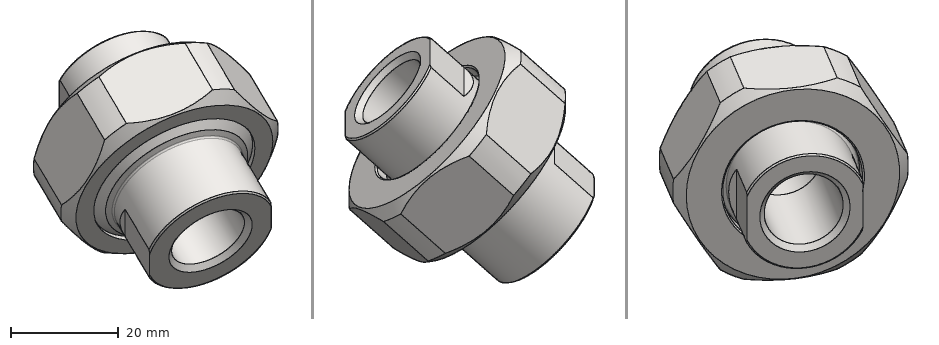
import cadquery as cq
import math


TOTAL_LENGTH = 42.0
NUT_START = 10.45
NUT_WIDTH = 16.0
NUT_END = NUT_START + NUT_WIDTH
JOINT_X = 19.65

BORE_RADIUS = 14.95 / 2
BORE_CHAMFER = 1.05
END_CHAMFER = 0.3

ACROSS_FLATS = 41.0
NUT_RADIUS = 22.35
HEX_TURN = 90.0
NUT_CHAMFER = 2.1
NUT_HOLE_RADIUS = 26.5 / 2
NUT_HOLE_CHAMFER = 0.3
NUT_LIP = 4.0
THREAD_RADIUS = 33.1 / 2

LEFT_RADIUS = 24.5 / 2
LEFT_FLATS = 22.0
LEFT_FLAT_LENGTH = 9.0
LEFT_FILLET = 0.8
LEFT_SHOULDER_DEPTH = 2.8
LEFT_SHOULDER_X = NUT_START + LEFT_SHOULDER_DEPTH
FLANGE_X = NUT_START + NUT_LIP

RIGHT_RADIUS = 26.5 / 2
RIGHT_FLATS = 25.0
RIGHT_FLAT_LENGTH = 10.5
COLLAR_EDGE_RADIUS = 14.6
CONE_OFFSET = 1.0
COLLAR_FACE_ANGLE = math.radians(66)
COLLAR_FILLET = 0.45


def revolve_about_x(profile):
    """Turn a closed profile drawn as (x, radius) about the X axis."""
    return profile.close().revolve(360, (0, 0, 0), (1, 0, 0))


def flat_cutters(flat_width, end_x, inward, length, outer_radius):
    """Two prisms that cut opposite flats with a 45 degree run-out."""
    depth = 2 * (outer_radius - flat_width / 2)
    half_flats = flat_width / 2
    corner_x = end_x + inward * length
    cutters = []
    for side in (1, -1):
        cutters.append(
            cq.Workplane("XY")
            .workplane(offset=-outer_radius)
            .moveTo(end_x, side * half_flats)
            .lineTo(corner_x, side * half_flats)
            .lineTo(corner_x + inward * depth, side * (half_flats + depth))
            .lineTo(end_x, side * (half_flats + depth))
            .close()
            .extrude(2 * outer_radius)
        )
    return cutters


def make_left_tailpiece():
    fillet_start_x = LEFT_SHOULDER_X - LEFT_FILLET
    fillet_end_radius = LEFT_RADIUS + LEFT_FILLET
    fillet_offset = LEFT_FILLET * math.sqrt(0.5)
    profile = (
        cq.Workplane("XY")
        .moveTo(0, BORE_RADIUS + BORE_CHAMFER)
        .lineTo(0, LEFT_RADIUS - END_CHAMFER)
        .lineTo(END_CHAMFER, LEFT_RADIUS)
        .lineTo(fillet_start_x, LEFT_RADIUS)
        .threePointArc(
            (fillet_start_x + fillet_offset, fillet_end_radius - fillet_offset),
            (LEFT_SHOULDER_X, fillet_end_radius),
        )
        .lineTo(LEFT_SHOULDER_X, NUT_HOLE_RADIUS)
        .lineTo(FLANGE_X, NUT_HOLE_RADIUS)
        .lineTo(FLANGE_X, THREAD_RADIUS)
        .lineTo(JOINT_X, THREAD_RADIUS)
        .lineTo(JOINT_X, BORE_RADIUS)
        .lineTo(BORE_CHAMFER, BORE_RADIUS)
    )
    body = revolve_about_x(profile)
    for cutter in flat_cutters(LEFT_FLATS, 0, 1, LEFT_FLAT_LENGTH, LEFT_RADIUS):
        body = body.cut(cutter)
    return body


def make_right_tailpiece():
    cone_end_x = NUT_END + CONE_OFFSET
    cone_start_x = cone_end_x - (THREAD_RADIUS - COLLAR_EDGE_RADIUS)

    fillet_centre_radius = RIGHT_RADIUS + COLLAR_FILLET
    fillet_top_radius = fillet_centre_radius - COLLAR_FILLET * math.cos(COLLAR_FACE_ANGLE)
    fillet_top_x = cone_end_x + (COLLAR_EDGE_RADIUS - fillet_top_radius) / math.tan(COLLAR_FACE_ANGLE)
    fillet_end_x = fillet_top_x + COLLAR_FILLET * math.sin(COLLAR_FACE_ANGLE)
    fillet_middle = (
        fillet_end_x - COLLAR_FILLET * math.sin(COLLAR_FACE_ANGLE / 2),
        fillet_centre_radius - COLLAR_FILLET * math.cos(COLLAR_FACE_ANGLE / 2),
    )

    profile = (
        cq.Workplane("XY")
        .moveTo(JOINT_X, BORE_RADIUS)
        .lineTo(JOINT_X, THREAD_RADIUS)
        .lineTo(cone_start_x, THREAD_RADIUS)
        .lineTo(cone_end_x, COLLAR_EDGE_RADIUS)
        .lineTo(fillet_top_x, fillet_top_radius)
        .threePointArc(fillet_middle, (fillet_end_x, RIGHT_RADIUS))
        .lineTo(TOTAL_LENGTH - END_CHAMFER, RIGHT_RADIUS)
        .lineTo(TOTAL_LENGTH, RIGHT_RADIUS - END_CHAMFER)
        .lineTo(TOTAL_LENGTH, BORE_RADIUS + BORE_CHAMFER)
        .lineTo(TOTAL_LENGTH - BORE_CHAMFER, BORE_RADIUS)
    )
    body = revolve_about_x(profile)
    for cutter in flat_cutters(RIGHT_FLATS, TOTAL_LENGTH, -1, RIGHT_FLAT_LENGTH, RIGHT_RADIUS):
        body = body.cut(cutter)
    return body


def make_union_nut():
    profile = (
        cq.Workplane("XY")
        .moveTo(NUT_START, NUT_HOLE_RADIUS + NUT_HOLE_CHAMFER)
        .lineTo(NUT_START, NUT_RADIUS - NUT_CHAMFER)
        .lineTo(NUT_START + NUT_CHAMFER, NUT_RADIUS)
        .lineTo(NUT_END - NUT_CHAMFER, NUT_RADIUS)
        .lineTo(NUT_END, NUT_RADIUS - NUT_CHAMFER)
        .lineTo(NUT_END, THREAD_RADIUS)
        .lineTo(FLANGE_X, THREAD_RADIUS)
        .lineTo(FLANGE_X, NUT_HOLE_RADIUS)
        .lineTo(NUT_START + NUT_HOLE_CHAMFER, NUT_HOLE_RADIUS)
    )
    ring = revolve_about_x(profile)

    hexagon = (
        cq.Workplane("YZ")
        .workplane(offset=NUT_START)
        .polygon(6, ACROSS_FLATS, circumscribed=True)
        .extrude(NUT_WIDTH)
        .rotate((0, 0, 0), (1, 0, 0), HEX_TURN)
    )
    return ring.intersect(hexagon)


left_tailpiece = make_left_tailpiece()
right_tailpiece = make_right_tailpiece()
union_nut = make_union_nut()

result = cq.Compound.makeCompound([
    left_tailpiece.val(),
    right_tailpiece.val(),
    union_nut.val(),
])